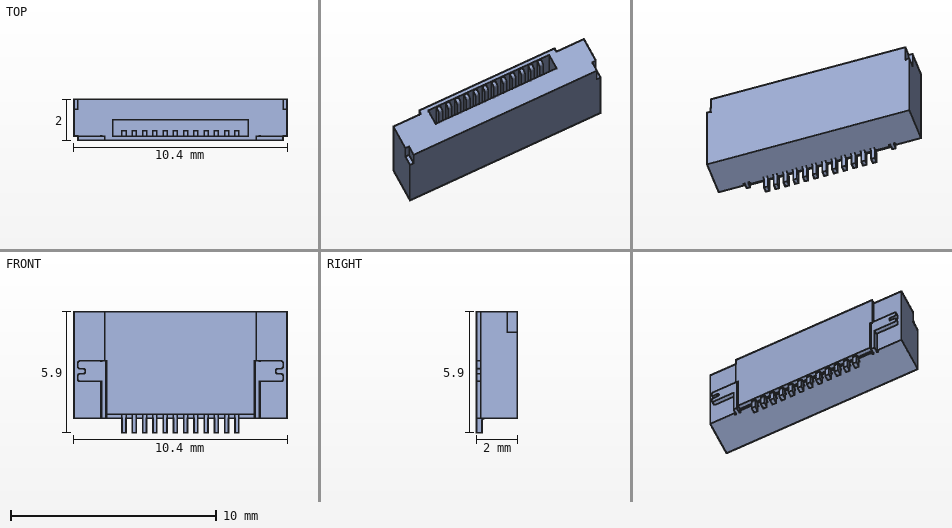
import cadquery as cq


BODY_WIDTH = 10.4
BODY_HEIGHT = 5.2
TOTAL_DEPTH = 2.0
FACE_STEP = 0.2
PLATE_WIDTH = 7.4
PLATE_BOTTOM = 0.2

NOTCH_WIDTH = 0.2
NOTCH_DEPTH = 0.5
NOTCH_HEIGHT = 1.0

SLOT_WIDTH = 6.6
SLOT_THICKNESS = 0.8
SLOT_DEPTH = 3.5

PIN_COUNT = 12
PIN_PITCH = 0.5
PIN_WIDTH = 0.2
PIN_DROP = 0.7
PIN_THICKNESS = 0.28
PIN_OUTER_RADIUS = 0.25
PIN_INNER_RADIUS = 0.1
PIN_ROOT = 0.6
CONTACT_THICKNESS = 0.27
CONTACT_SETBACK = 0.1
CONTACT_RADIUS = 0.18

TAB_OUTER_X = 5.0
TAB_TOP = 2.8
TAB_HEIGHT = 1.0
TAB_RADIUS = 0.1
TAB_SLOT_WIDTH = 0.25
TAB_SLOT_LENGTH = 0.36
LEG_OUTER_X = 3.83
LEG_INNER_X = 3.65
GROOVE_CLEARANCE = 0.065
GROOVE_DEPTH = 0.3


def box(x_range, y_range, z_range):
    """Axis-aligned box between the given limits."""
    (x0, x1), (y0, y1), (z0, z1) = x_range, y_range, z_range
    return cq.Workplane("XY").box(x1 - x0, y1 - y0, z1 - z0, centered=False).translate((x0, y0, z0))


def centered_range(width):
    return -width / 2, width / 2


def mirrored(shape):
    """The shape together with its mirror image on the other end of the connector."""
    return shape.union(shape.mirror("YZ"))


def make_housing():
    body = box(centered_range(BODY_WIDTH), (FACE_STEP, TOTAL_DEPTH), (0, BODY_HEIGHT))
    plate = box(centered_range(PLATE_WIDTH), (0, FACE_STEP), (PLATE_BOTTOM, BODY_HEIGHT))
    notch = box(
        (BODY_WIDTH / 2 - NOTCH_WIDTH, BODY_WIDTH / 2),
        (TOTAL_DEPTH - NOTCH_DEPTH, TOTAL_DEPTH),
        (BODY_HEIGHT - NOTCH_HEIGHT, BODY_HEIGHT),
    )
    cable_slot = box(
        centered_range(SLOT_WIDTH),
        (FACE_STEP, FACE_STEP + SLOT_THICKNESS),
        (BODY_HEIGHT - SLOT_DEPTH, BODY_HEIGHT),
    )
    leg_groove = box(
        (LEG_INNER_X - GROOVE_CLEARANCE, LEG_OUTER_X + GROOVE_CLEARANCE),
        (0, GROOVE_DEPTH),
        (0, TAB_TOP),
    )
    return body.union(plate).cut(mirrored(notch)).cut(cable_slot).cut(mirrored(leg_groove))


def make_bracket():
    """Bracket on the +X wing: notched tab plus the leg, which is seated on the groove floor."""
    tab_bottom = TAB_TOP - TAB_HEIGHT
    tab_middle = TAB_TOP - TAB_HEIGHT / 2
    tab = box((LEG_INNER_X, TAB_OUTER_X), (0, FACE_STEP), (tab_bottom, TAB_TOP))
    tab_slot = box(
        (TAB_OUTER_X - TAB_SLOT_LENGTH, TAB_OUTER_X),
        (0, FACE_STEP),
        (tab_middle - TAB_SLOT_WIDTH / 2, tab_middle + TAB_SLOT_WIDTH / 2),
    ).edges("|Y and <X").fillet(TAB_RADIUS)
    tab = tab.cut(tab_slot).edges("|Y and >X").fillet(TAB_RADIUS)
    leg = box((LEG_INNER_X, LEG_OUTER_X), (0, GROOVE_DEPTH), (0, TAB_TOP))
    return tab.union(leg)


def make_pin():
    """Bent solder pin: out of the housing under the plate, then straight down."""
    inner_start = PIN_THICKNESS + PIN_INNER_RADIUS
    profile = (
        cq.Workplane("YZ")
        .moveTo(PIN_ROOT, PLATE_BOTTOM)
        .lineTo(PIN_OUTER_RADIUS, PLATE_BOTTOM)
        .radiusArc((0, PLATE_BOTTOM - PIN_OUTER_RADIUS), -PIN_OUTER_RADIUS)
        .lineTo(0, -PIN_DROP)
        .lineTo(PIN_THICKNESS, -PIN_DROP)
        .lineTo(PIN_THICKNESS, -PIN_INNER_RADIUS)
        .radiusArc((inner_start, 0), PIN_INNER_RADIUS)
        .lineTo(PIN_ROOT, 0)
        .close()
    )
    return profile.extrude(PIN_WIDTH / 2, both=True)


def make_contact():
    """Contact strip on the front wall of the cable slot, rounded at its upper back edge."""
    contact = box(
        centered_range(PIN_WIDTH),
        (FACE_STEP, FACE_STEP + CONTACT_THICKNESS),
        (BODY_HEIGHT - SLOT_DEPTH, BODY_HEIGHT - CONTACT_SETBACK),
    )
    return contact.edges("|X and >Y and >Z").fillet(CONTACT_RADIUS)


result = make_housing().union(mirrored(make_bracket()))
pin = make_pin()
contact = make_contact()
for index in range(PIN_COUNT):
    pin_x = (index - (PIN_COUNT - 1) / 2) * PIN_PITCH
    result = result.union(pin.translate((pin_x, 0, 0)))
    result = result.union(contact.translate((pin_x, 0, 0)))